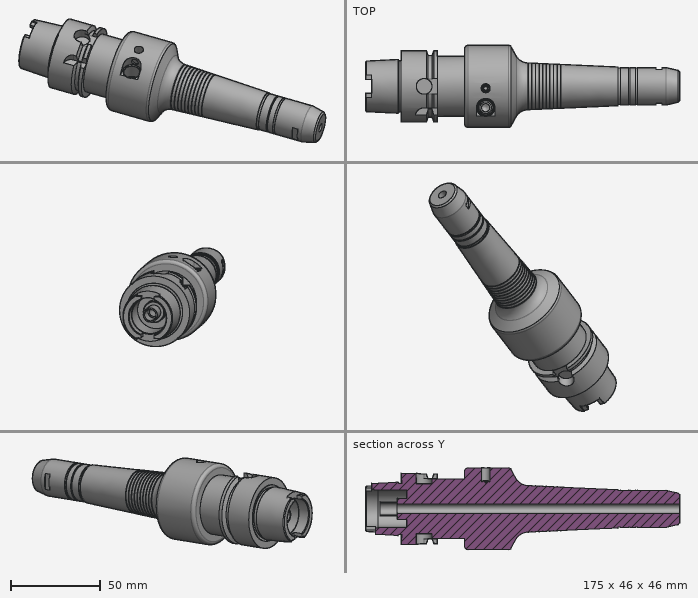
import cadquery as cq
import math

length = 175.0

shank_end_radius = 14.2
shank_root_radius = 15.0
shank_chamfer = 0.5
relief_start = 18.0
relief_ramp = 0.5
relief_radius = 14.4
face_recess_radius = 16.0
face_recess_depth = 0.4

flange_start = 19.8
flange_radius = 20.0
groove_floor_radius = 17.3
groove_outer_start = 33.8
groove_floor_start = 34.8
groove_floor_end = 37.0
groove_outer_end = 38.0
flange_end = 39.9

neck_radius = 16.8
collar_start = 55.0
collar_end = 80.8
collar_radius = 23.0
collar_fillet = 2.1
collar_rear_start = 79.6
collar_rear_radius = 22.4
collar_rear_fillet = 1.8

cone_end = 84.0
cone_end_radius = 16.6
flare_end = 90.1
slim_radius = 13.1
flare_middle_run = 2.6
flare_middle_radius = 14.2
taper_end = 140.7
taper_end_radius = 10.8
nose_radius = 10.5
nose_cone_start = 167.3
nose_cone_end = 174.1
nose_cone_radius = 9.0
tip_radius = 16.0 / 2

rib_count = 10
rib_first = 90.5
rib_last = 108.5
rib_width = 0.26
rib_depth = 0.2
nose_rings = [(140.7, 1.2), (146.5, 0.7), (150.3, 1.0)]
nose_ring_radius = 20.5 / 2

bore_mouth_radius = 21.9 / 2
bore_front_radius = 10.5
bore_step = 6.8
bore_radius = 20.5 / 2
bore_depth = 22.8
tube_start = 7.9
tube_radius = 4.0
nut_start = 17.5
nut_radius = 12.0 / 2
nut_chamfer = 0.4
tube_bore_radius = 6.5 / 2
coolant_radius = 2.5

slot_width = 7.5
shelf_width = 12.6
shelf_height = 11.7
upper_slot_depth = 3.3
lower_slot_depth = 5.5

keyway_center = 32.5
keyway_radius = 4.4
keyway_seat_floor = 14.0
keyway_floor = 16.8
notch_mill_center = 32.2
notch_floor = 11.9
notch_wall = 12.0
notch_mill_radius = 4.5

pocket_x = 66.8
pocket_y = -11.9
pocket_radius = 10.3 / 2
pocket_floor = 16.0
screw_hole_radius = 9.0 / 2
screw_hole_mouth_radius = 10.0 / 2
pin_hole_radius = 4.0 / 2
pin_hole_height = 18.5
pin_hole_depth = 0.9
clamp_screw_top = 7.9
clamp_screw_radius = 4.0
clamp_screw_tip_radius = 6.5 / 2
clamp_screw_bevel = 0.9
clamp_screw_socket_radius = 2.3

top_hole_radius = 5.0 / 2
top_hole_y = -1.0
top_screw_top = 15.8
top_screw_radius = 2.3
top_screw_tip_radius = 1.8
top_screw_bevel = 0.5
top_screw_socket_radius = 1.14

flat_start = 161.9
flat_length = 3.2
flat_offset = 9.5


def turned(profile):
    return profile.close().revolve(360, (0, 0, 0), (1, 0, 0))


def ring_cut(start, width, floor_radius):
    return turned(
        cq.Workplane("XY").moveTo(start, floor_radius).lineTo(start + width, floor_radius)
        .lineTo(start + width, collar_radius).lineTo(start, collar_radius)
    )


def box(x0, x1, y0, y1, z0, z1):
    return cq.Workplane("XY").box(x1 - x0, y1 - y0, z1 - z0, centered=False).translate((x0, y0, z0))


def upright_cylinder(x, y, radius, z0, z1):
    return cq.Workplane("XY", origin=(x, y, z0)).circle(radius).extrude(z1 - z0)


def upright_cone(x, y, lower_radius, upper_radius, z0, z1):
    cone = cq.Solid.makeCone(lower_radius, upper_radius, z1 - z0, cq.Vector(x, y, z0), cq.Vector(0, 0, 1))
    return cq.Workplane(cone)


def outer_body():
    flare_middle_x = cone_end + flare_middle_run
    corner = collar_fillet * (1 - math.sqrt(0.5))
    return turned(
        cq.Workplane("XY").moveTo(0, 0)
        .lineTo(0, shank_end_radius - shank_chamfer)
        .lineTo(shank_chamfer, shank_end_radius)
        .lineTo(relief_start, shank_root_radius)
        .lineTo(relief_start + relief_ramp, relief_radius)
        .lineTo(flange_start + face_recess_depth, relief_radius)
        .lineTo(flange_start + face_recess_depth, face_recess_radius)
        .lineTo(flange_start, face_recess_radius)
        .lineTo(flange_start, flange_radius)
        .lineTo(groove_outer_start, flange_radius)
        .lineTo(groove_floor_start, groove_floor_radius)
        .lineTo(groove_floor_end, groove_floor_radius)
        .lineTo(groove_outer_end, flange_radius)
        .lineTo(flange_end, flange_radius)
        .lineTo(flange_end, neck_radius)
        .lineTo(collar_start, neck_radius)
        .lineTo(collar_start, collar_radius - collar_fillet)
        .threePointArc((collar_start + corner, collar_radius - corner),
                       (collar_start + collar_fillet, collar_radius))
        .lineTo(collar_rear_start, collar_radius)
        .radiusArc((collar_end, collar_rear_radius), collar_rear_fillet)
        .lineTo(cone_end, cone_end_radius)
        .threePointArc((flare_middle_x, flare_middle_radius), (flare_end, slim_radius))
        .lineTo(taper_end, taper_end_radius)
        .lineTo(taper_end, nose_radius)
        .lineTo(nose_cone_start, nose_radius)
        .lineTo(nose_cone_end, nose_cone_radius)
        .lineTo(length, tip_radius)
        .lineTo(length, 0)
    )


def cut_nose_rings(body):
    slope = (slim_radius - taper_end_radius) / (taper_end - flare_end)
    rib_pitch = (rib_last - rib_first) / (rib_count - 1)
    for i in range(rib_count):
        start = rib_first + i * rib_pitch
        surface_radius = slim_radius - slope * (start - flare_end)
        body = body.cut(ring_cut(start, rib_width, surface_radius - rib_depth))
    for start, width in nose_rings:
        body = body.cut(ring_cut(start, width, nose_ring_radius))
    return body


def bore():
    """Shank cavity around the coolant tube and its nut."""
    mouth_chamfer = bore_mouth_radius - bore_front_radius
    return turned(
        cq.Workplane("XY").moveTo(0, 0)
        .lineTo(0, bore_mouth_radius)
        .lineTo(mouth_chamfer, bore_front_radius)
        .lineTo(bore_step, bore_front_radius)
        .lineTo(bore_step, bore_radius)
        .lineTo(bore_depth, bore_radius)
        .lineTo(bore_depth, nut_radius)
        .lineTo(nut_start + nut_chamfer, nut_radius)
        .lineTo(nut_start, nut_radius - nut_chamfer)
        .lineTo(nut_start, tube_radius)
        .lineTo(tube_start, tube_radius)
        .lineTo(tube_start, 0)
    )


def coolant_hole():
    wide_end = cq.Workplane("YZ").circle(tube_bore_radius).extrude(nut_start)
    return cq.Workplane("YZ").circle(coolant_radius).extrude(length).union(wide_end)


def drive_slot(depth):
    slot = box(0, depth, -slot_width / 2, slot_width / 2, 0, flange_radius)
    shelf = box(0, depth, -shelf_width / 2, shelf_width / 2, shelf_height, flange_radius)
    return slot.union(shelf)


def keyway():
    seat = upright_cylinder(keyway_center, 0, keyway_radius, keyway_seat_floor, collar_radius)
    run_out = box(keyway_center, flange_end, -keyway_radius, keyway_radius, keyway_floor, collar_radius)
    return seat.union(run_out)


def turned_over(shape):
    return shape.rotate((0, 0, 0), (1, 0, 0), 180)


def corner_notch():
    run_out = box(notch_mill_center, flange_end, -collar_radius, -notch_wall, notch_floor, collar_radius)
    mill_end = upright_cylinder(notch_mill_center, -notch_wall - notch_mill_radius, notch_mill_radius,
                                notch_floor, collar_radius)
    return run_out.union(mill_end)


def clamp_pocket():
    seat = upright_cylinder(pocket_x, pocket_y, pocket_radius, pocket_floor, collar_radius)
    opening = box(pocket_x - pocket_radius, pocket_x + pocket_radius,
                  -collar_radius, pocket_y, pocket_floor, collar_radius)
    mouth_depth = screw_hole_mouth_radius - screw_hole_radius
    hole = upright_cylinder(pocket_x, pocket_y, screw_hole_radius,
                            clamp_screw_top - clamp_screw_bevel, pocket_floor)
    mouth = upright_cone(pocket_x, pocket_y, screw_hole_radius, screw_hole_mouth_radius,
                         pocket_floor - mouth_depth, pocket_floor)
    pin_hole = (
        cq.Workplane("XZ", origin=(pocket_x, pocket_y, pin_hole_height))
        .circle(pin_hole_radius).extrude(-pocket_radius - pin_hole_depth)
    )
    return seat.union(opening).union(hole).union(mouth).union(pin_hole)


def top_hole():
    return upright_cylinder(pocket_x, top_hole_y, top_hole_radius,
                            top_screw_top - top_screw_bevel, collar_radius)


def fit_set_screw(body, y, top, radius, tip_radius, bevel, socket_radius):
    """Add a bevelled screw end on a hole's floor, then sink its socket with a drill point."""
    socket_floor = top - socket_radius
    point_floor = socket_floor - socket_radius / 2
    bevelled_end = upright_cone(pocket_x, y, radius, tip_radius, top - bevel, top)
    socket = upright_cylinder(pocket_x, y, socket_radius, socket_floor, top)
    drill_point = upright_cone(pocket_x, y, 0, socket_radius, point_floor, socket_floor)
    return body.union(bevelled_end).cut(socket.union(drill_point))


def wrench_flat():
    return box(flat_start, flat_start + flat_length, -nose_radius, -flat_offset, -nose_radius, nose_radius)


result = cut_nose_rings(outer_body()).cut(bore()).cut(coolant_hole())
result = result.cut(drive_slot(upper_slot_depth)).cut(turned_over(drive_slot(lower_slot_depth)))
result = result.cut(keyway()).cut(turned_over(keyway())).cut(corner_notch())
result = fit_set_screw(result.cut(clamp_pocket()), pocket_y, clamp_screw_top, clamp_screw_radius,
                       clamp_screw_tip_radius, clamp_screw_bevel, clamp_screw_socket_radius)
result = fit_set_screw(result.cut(top_hole()), top_hole_y, top_screw_top, top_screw_radius,
                       top_screw_tip_radius, top_screw_bevel, top_screw_socket_radius)
result = result.cut(wrench_flat()).cut(turned_over(wrench_flat()))